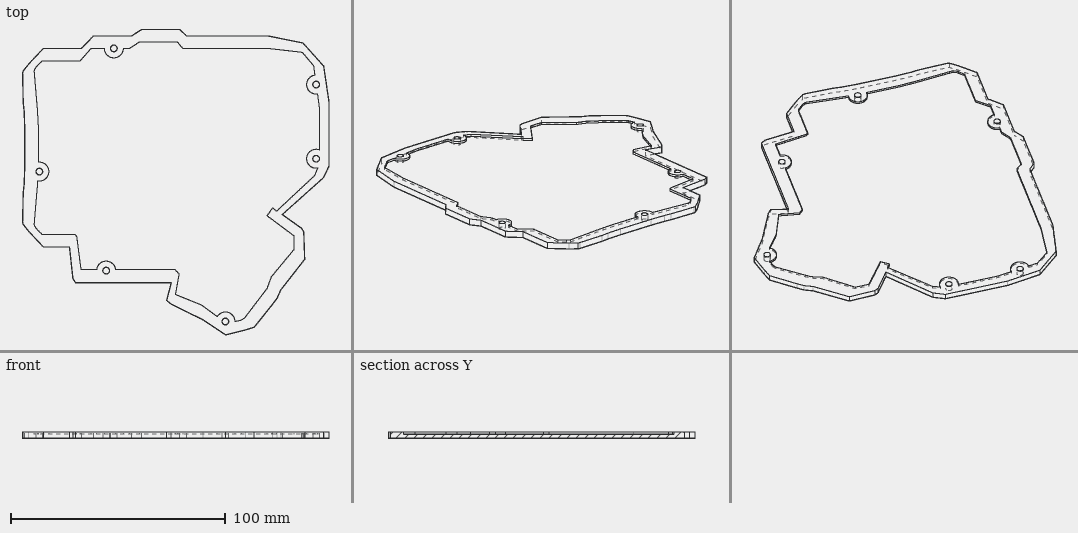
import cadquery as cq

LENGTH = 142.6
WIDTH = 142.2
THICKNESS = 3.0
POCKET_DEPTH = 1.0

RIM = 5.8
RIM_RIGHT = 4.4
RIM_BOTTOM = 6.1

TOP_STEP = 139.2
TOP_LEFT_EDGE = 133.4
BOTTOM_EDGE = 24.2

LEFT_MID_Y = 87.1
LOWER_LEFT_EDGE = 2 * LEFT_MID_Y - TOP_LEFT_EDGE

HOLE_DIAMETER = 3.0
BOSS_DIAMETER = 8.8
BOSS_CENTERS = [
    (42.5, 133.4),
    (7.8, 76.0),
    (136.6, 116.5),
    (136.6, 82.0),
    (39.0, 30.0),
    (94.4, 6.3),
]


def mirrored_left_end(upper_half):
    """Continue the upper half of the left end with its mirror image, going down."""
    lower_half = [(x, 2 * LEFT_MID_Y - y) for x, y in reversed(upper_half)]
    return upper_half + lower_half


def prism(points, height):
    return cq.Workplane("XY").polyline(points).close().extrude(height)


outer_left_end = mirrored_left_end([
    (9.7, TOP_LEFT_EDGE),
    (2.9, 126.1),
    (0.3, 122.8),
    (0.0, 121.8),
    (0.3, 108.1),
    (0.7, 104.3),
    (1.0, 96.4),
])
outer_bottom = [
    (21.8, LOWER_LEFT_EDGE),
    (23.4, 26.4),
    (24.7, BOTTOM_EDGE),
    (69.2, BOTTOM_EDGE),
]
outer_thumb_lobe = [
    (67.0, 16.1),
    (69.0, 14.4),
    (84.0, 7.0),
    (94.5, 0.0),
    (103.7, 2.3),
    (107.8, 3.5),
    (116.4, 14.3),
    (118.5, 17.1),
    (120.2, 21.0),
    (131.4, 35.2),
    (131.0, 47.9),
    (130.0, 49.6),
    (121.0, 56.0),
]
outer_right_end = [
    (140.0, 73.2),
    (LENGTH, 78.5),
    (LENGTH, 108.7),
    (140.2, 125.1),
    (130.5, 135.9),
]
outer_top = [
    (114.1, TOP_STEP),
    (76.3, TOP_STEP),
    (73.2, WIDTH),
    (55.5, WIDTH),
    (50.8, TOP_STEP),
    (33.1, TOP_STEP),
    (27.4, TOP_LEFT_EDGE),
]
outer_outline = outer_left_end + outer_bottom + outer_thumb_lobe + outer_right_end + outer_top

pocket_left_end = mirrored_left_end([
    (9.1, TOP_LEFT_EDGE - RIM),
    (6.3, 124.7),
    (5.4, 123.0),
    (7.0, 104.3),
    (7.4, 96.4),
])
pocket_bottom = [
    (24.5, LOWER_LEFT_EDGE + RIM),
    (25.2, 45.8),
    (27.2, BOTTOM_EDGE + RIM_BOTTOM),
    (71.0, BOTTOM_EDGE + RIM_BOTTOM),
]
pocket_thumb_lobe = [
    (72.9, 28.4),
    (71.2, 18.8),
    (83.3, 14.0),
    (95.0, 5.3),
    (102.0, 7.0),
    (103.4, 8.0),
    (113.8, 21.7),
    (115.8, 27.1),
    (126.2, 39.7),
    (126.2, 46.2),
    (113.8, 55.5),
    (116.4, 59.2),
    (118.2, 57.6),
]
pocket_right_end = [
    (135.9, 74.2),
    (LENGTH - RIM_RIGHT, 79.6),
    (LENGTH - RIM_RIGHT, 105.4),
    (135.5, 125.2),
    (130.2, 131.5),
]
pocket_top = [
    (114.1, TOP_STEP - RIM),
    (74.6, TOP_STEP - RIM),
    (72.0, WIDTH - RIM),
    (54.5, WIDTH - RIM),
    (49.8, TOP_STEP - RIM),
    (32.0, TOP_STEP - RIM),
    (26.8, TOP_LEFT_EDGE - RIM),
]
pocket_outline = pocket_left_end + pocket_bottom + pocket_thumb_lobe + pocket_right_end + pocket_top

plate = prism(outer_outline, THICKNESS)
floor_thickness = THICKNESS - POCKET_DEPTH
pocket = prism(pocket_outline, POCKET_DEPTH).translate((0, 0, floor_thickness))
bosses = cq.Workplane("XY").pushPoints(BOSS_CENTERS).circle(BOSS_DIAMETER / 2).extrude(THICKNESS)
holes = cq.Workplane("XY").pushPoints(BOSS_CENTERS).circle(HOLE_DIAMETER / 2).extrude(THICKNESS)

result = plate.cut(pocket.cut(bosses)).cut(holes)